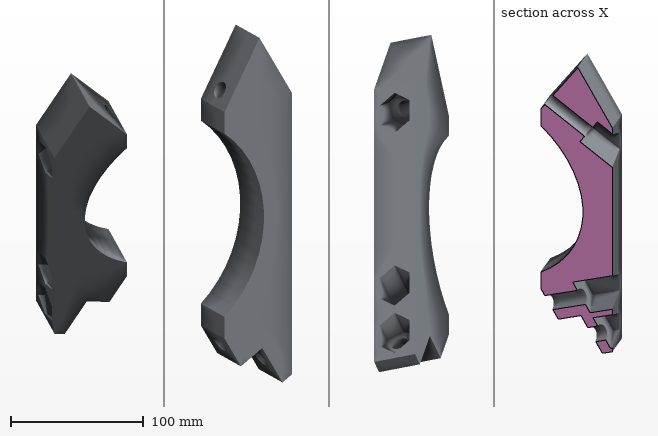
import cadquery as cq
import math

width = 34.0
depth = 60.0
height = 281.25

tilt = math.radians(30)
sin_tilt = math.sin(tilt)
cos_tilt = math.cos(tilt)
tan_tilt = math.tan(tilt)

apex_y = 29.0
foot_end_length = 9.9
foot_face_length = 36.0
ledge_length = 21.9
arc_radius = 95.0
arc_center_y = 120.0
arc_center_z = 136.45

bolt_diameter = 13.0
nut_across_flats = 25.0
nut_across_corners = nut_across_flats / cos_tilt
front_clearance = nut_across_corners
bolt_cut_length = 2 * depth

lower_bolt_spacing = 34.0
lower_seat_setback = 10.0
foot_bolt_z = foot_end_length * sin_tilt + foot_face_length / 2 / cos_tilt
ledge_bolt_z = foot_bolt_z + lower_bolt_spacing / cos_tilt
lower_seat_offset = lower_seat_setback - foot_end_length * cos_tilt**2

upper_bolt_z = 207.9
upper_pocket_depth = 23.0

bolts = [
    (upper_bolt_z, 1, upper_pocket_depth),
    (ledge_bolt_z, -1, ledge_bolt_z * sin_tilt - lower_seat_offset),
    (foot_bolt_z, -1, foot_bolt_z * sin_tilt - lower_seat_offset),
]


def make_body():
    """Extrude the Y-Z side outline across the width."""
    foot_front = (0, foot_end_length * sin_tilt)
    foot_tip = (foot_end_length * cos_tilt, 0)
    ledge_inner = (
        foot_tip[0] + foot_face_length * sin_tilt,
        foot_tip[1] + foot_face_length * cos_tilt,
    )
    ledge_outer = (
        ledge_inner[0] + ledge_length * cos_tilt,
        ledge_inner[1] - ledge_length * sin_tilt,
    )
    lower_back = (depth, ledge_outer[1] + (depth - ledge_outer[0]) / tan_tilt)
    half_chord = math.sqrt(arc_radius**2 - (arc_center_y - depth) ** 2)
    arc_bottom = (depth, arc_center_z - half_chord)
    arc_middle = (arc_center_y - arc_radius, arc_center_z)
    arc_top = (depth, arc_center_z + half_chord)
    upper_back = (depth, height - (depth - apex_y) / tan_tilt)
    apex = (apex_y, height)
    upper_front = (0, height - apex_y / tan_tilt)

    return (
        cq.Workplane("YZ")
        .moveTo(*foot_front)
        .lineTo(*foot_tip)
        .lineTo(*ledge_inner)
        .lineTo(*ledge_outer)
        .lineTo(*lower_back)
        .lineTo(*arc_bottom)
        .threePointArc(arc_middle, arc_top)
        .lineTo(*upper_back)
        .lineTo(*apex)
        .lineTo(*upper_front)
        .close()
        .extrude(width / 2, both=True)
    )


def make_bolt_cut(entry_z, direction, pocket_depth):
    """Through hole with a hexagonal nut pocket sunk from the front face, corners pointing up and down."""
    axis = cq.Vector(0, cos_tilt, direction * sin_tilt)
    across = cq.Vector(0, -direction * sin_tilt, cos_tilt)
    entry = cq.Vector(0, 0, entry_z)
    start = cq.Workplane(cq.Plane(entry - axis * front_clearance, across, axis))
    pocket = start.polygon(6, nut_across_corners).extrude(front_clearance + pocket_depth)
    hole = start.circle(bolt_diameter / 2).extrude(front_clearance + bolt_cut_length)
    return pocket.union(hole)


result = make_body()
for bolt in bolts:
    result = result.cut(make_bolt_cut(*bolt))